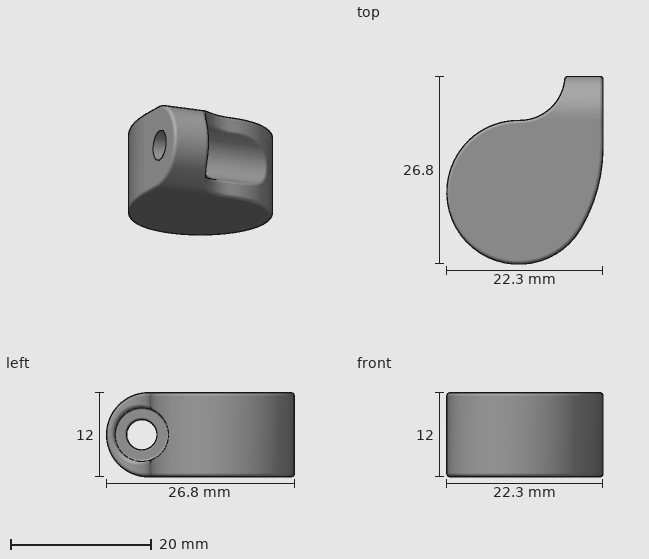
import cadquery as cq
import math

body_radius = 10.25
thickness = 12.0
flat_side_x = 12.0
lug_tip_y = 16.5
flank_radius = 23.0
neck_radius = 6.4
neck_center_x = 0.15
edge_fillet = 0.5

hole_y = 11.48
hole_radius = 2.15
hole_edge_fillet = 0.32
counterbore_radius = 3.8
counterbore_floor_fillet = 0.27
seat_thickness = 3.0

lug_radius = thickness / 2
lug_center_y = lug_tip_y - lug_radius
flank_center_x = flat_side_x - flank_radius
flank_center_y = math.sqrt((flank_radius - body_radius) ** 2 - flank_center_x**2)
flank_angle = math.atan2(-flank_center_y, -flank_center_x)
neck_center_y = math.sqrt((body_radius + neck_radius) ** 2 - neck_center_x**2)
neck_angle = math.atan2(neck_center_y, neck_center_x)
neck_end_angle = math.asin((lug_tip_y - neck_center_y) / neck_radius)


def on_circle(center_x, center_y, radius, angle):
    return (center_x + radius * math.cos(angle), center_y + radius * math.sin(angle))


def on_body(angle):
    return on_circle(0, 0, body_radius, angle)


def on_flank(angle):
    return on_circle(flank_center_x, flank_center_y, flank_radius, angle)


def on_neck(angle):
    return on_circle(neck_center_x, neck_center_y, neck_radius, angle)


def drop_body():
    """Drop-shaped plate whose lug is rounded about an axis parallel to X."""
    neck_start_angle = neck_angle - math.pi
    plate = (
        cq.Workplane("XY", origin=(0, 0, -thickness / 2))
        .moveTo(flat_side_x, lug_tip_y)
        .lineTo(flat_side_x, flank_center_y)
        .threePointArc(on_flank(flank_angle / 2), on_body(flank_angle))
        .threePointArc(on_body((flank_angle + neck_angle) / 2 + math.pi), on_body(neck_angle))
        .threePointArc(on_neck((neck_start_angle + neck_end_angle) / 2), on_neck(neck_end_angle))
        .close()
        .extrude(thickness)
    )
    length = body_radius + flat_side_x
    round_end = (
        cq.Workplane("YZ", origin=(-body_radius, 0, 0))
        .center(lug_center_y, 0)
        .circle(lug_radius)
        .extrude(length)
    )
    straight_length = body_radius + lug_center_y
    straight_part = cq.Workplane("XY").box(
        length, straight_length, thickness, centered=(False, False, True)
    )
    straight_part = straight_part.translate((-body_radius, -body_radius, 0))
    return plate.intersect(straight_part.union(round_end))


def bore(radius, start_x, end_x):
    return (
        cq.Workplane("YZ", origin=(start_x, 0, 0))
        .center(hole_y, 0)
        .circle(radius)
        .extrude(end_x - start_x)
    )


seat_x = flat_side_x - seat_thickness
counterbore = bore(counterbore_radius, -body_radius, seat_x)
counterbore = counterbore.faces(">X").edges().fillet(counterbore_floor_fillet)

rim_edges = "not (|X or |Z)"
result = drop_body().edges(rim_edges).fillet(edge_fillet)

result = result.cut(counterbore)
mouth_reach = counterbore_radius + 0.27
mouth_box = cq.selectors.BoxSelector(
    (-body_radius, hole_y - mouth_reach, -mouth_reach),
    (seat_x - 2 * counterbore_floor_fillet, hole_y + mouth_reach, mouth_reach),
)
result = result.edges(mouth_box).edges(rim_edges).fillet(edge_fillet)

result = result.cut(bore(hole_radius, seat_x, flat_side_x))
seat_face = cq.selectors.NearestToPointSelector((seat_x, hole_y, 0))
smallest_circle = cq.selectors.RadiusNthSelector(0)
result = result.faces(seat_face).edges(smallest_circle).fillet(hole_edge_fillet)